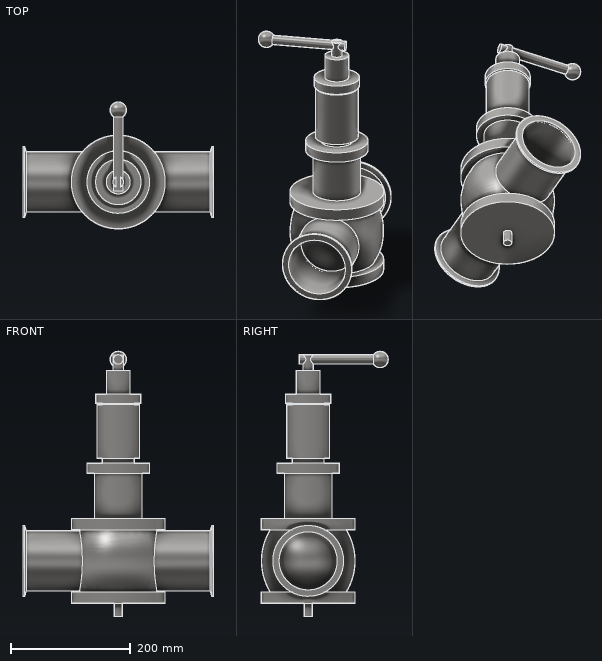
import cadquery as cq


pipe_length = 320.0
pipe_diameter = 101.5
bore_diameter = 97.5
ferrule_diameter = 119.0
ferrule_rim = 3.0
ferrule_taper = 2.5

body_diameter = 157.5
body_end_diameter = 128.0
body_half_height = 52.0
flange_height = 19.0
flange_top = body_half_height + flange_height
plug_diameter = 155.5

pin_diameter = 14.0
pin_length = 22.2

neck_diameter = 54.0
column_steps = [
    (80.0, 75.5),
    (105.0, 17.0),
    (neck_diameter, 8.0),
    (72.0, 90.5),
    (neck_diameter, 2.2),
    (76.0, 15.0),
    (40.0, 40.0),
    (18.0, 25.5),
]
column_top = flange_top + sum(height for _, height in column_steps)

lever_diameter = 16.0
lever_tail = 15.0
lever_rise = 1.0
knob_diameter = 27.5
lever_reach = 134.5
lever_z = column_top + lever_rise - lever_diameter / 2
knob_y = lever_reach - knob_diameter / 2


def disc(diameter, bottom, height):
    """Cylinder on the Z axis, standing on the height 'bottom'."""
    return cq.Workplane("XY").workplane(offset=bottom).circle(diameter / 2).extrude(height)


def make_body():
    """Solid of revolution about Z with a bulging side."""
    end_radius = body_end_diameter / 2
    return (
        cq.Workplane("XZ")
        .moveTo(0, -body_half_height)
        .lineTo(end_radius, -body_half_height)
        .threePointArc((body_diameter / 2, 0), (end_radius, body_half_height))
        .lineTo(0, body_half_height)
        .close()
        .revolve(360, (0, 0), (0, 1))
    )


def make_pipe():
    """Outer solid of the pipe, with a tapered ferrule at each end."""
    end = pipe_length / 2
    rim_back = end - ferrule_rim
    taper_back = rim_back - ferrule_taper
    pipe_radius = pipe_diameter / 2
    ferrule_radius = ferrule_diameter / 2
    half_pipe = (
        cq.Workplane("XY")
        .polyline([
            (0, 0),
            (0, pipe_radius),
            (taper_back, pipe_radius),
            (rim_back, ferrule_radius),
            (end, ferrule_radius),
            (end, 0),
        ])
        .close()
        .revolve(360, (0, 0), (1, 0))
    )
    return half_pipe.union(half_pipe.mirror("YZ"))


def make_bore():
    """Pipe bore, closed in the middle by a spherical plug."""
    bore = cq.Workplane("YZ").circle(bore_diameter / 2).extrude(pipe_length / 2, both=True)
    return bore.cut(cq.Workplane("YZ").sphere(plug_diameter / 2))


def make_column():
    """Stack of coaxial cylinders standing on the upper body flange."""
    column = disc(body_diameter, body_half_height, flange_height)
    bottom = flange_top
    for diameter, height in column_steps:
        column = column.union(disc(diameter, bottom, height))
        bottom += height
    return column


def make_base():
    """Lower body flange and drain pin."""
    flange = disc(body_diameter, -flange_top, flange_height)
    return flange.union(disc(pin_diameter, -flange_top - pin_length, pin_length))


def make_lever():
    """Round bar along Y through the stem, ending in a ball knob."""
    bar = (
        cq.Workplane("XZ", origin=(0, -lever_tail, lever_z))
        .circle(lever_diameter / 2)
        .extrude(-(knob_y + lever_tail))
    )
    knob = cq.Workplane("XY").sphere(knob_diameter / 2).translate((0, knob_y, lever_z))
    return bar.union(knob)


result = (
    make_body()
    .union(make_pipe())
    .cut(make_bore())
    .union(make_column())
    .union(make_base())
    .union(make_lever())
)